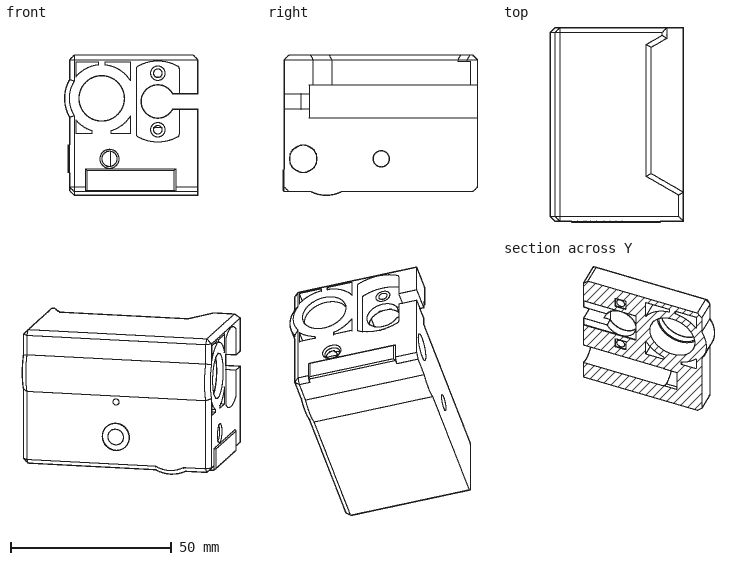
import cadquery as cq
import math

BLOCK_WIDTH = 39.95
BLOCK_LENGTH = 60.2
BLOCK_HEIGHT = 42.6
CHAMFER = 1.5

BEARING_X = 10.0
BEARING_Z = 29.05
BULGE_RADIUS = 11.6
BORE_MOUTH_RADIUS = 7.05
BORE_RADIUS = 7.5
BORE_LIP = 2.1

RING_RADIUS = 10.5
FRAME_LEFT, FRAME_RIGHT = 1.95, 18.9
FRAME_BOTTOM, FRAME_TOP = 18.2, 40.4
TOP_BRIDGE = 1.95
BOTTOM_BRIDGE = 5.95
POCKET_DEPTH = 27.3

SEAT_X = 27.5
SEAT_Z = 28.1
SEAT_RADIUS = 12.6
SEAT_WIDTH = 13.35
SEAT_DEPTH = 5.3
SEAT_CORNER = 0.9
SEAT_BORE_RADIUS = 5.15
SLOT_HEIGHT = 4.8
SEAT_BACK = 7.9

INSERT_OFFSET = 8.8
INSERT_RADIUS = 2.25
INSERT_BORE_RADIUS = 1.35
TAIL_WIDTH = 3.65
TAIL_SLOPE_TOP = 1.6
UPPER_TAIL_SLOPE_BOTTOM = -1.15
LOWER_TAIL_SLOPE_BOTTOM = 0.7

NOTCH_FLOOR = SEAT_Z - SEAT_BORE_RADIUS
NOTCH_X = 29.9
NOTCH_FRONT = 9.05
NOTCH_REAR = 54.1
REAR_LIP_X = 34.8
NOTCH_SLOPE = math.tan(math.radians(30))

LIP_THICKNESS = 2.1
LIP_RELIEF_REAR = 58.0

CROSS_Y = 30.2
CROSS_Z = 10.25
CROSS_RADIUS = 2.5
BOSS_RADIUS = 4.3
BOSS_HEIGHT = 0.4

CHAMBER_Y = 5.95
CHAMBER_RADIUS = 4.25
CHAMBER_START = 12.75
NUT_ACROSS_FLATS = 8.25
HEXAGON_TURN = 30
NUT_LENGTH = 4.25

FRONT_HOLE_X = 12.45
FRONT_HOLE_RADIUS = 2.35
FRONT_HOLE_CHAMFER = 0.6

DIMPLE_Z = 21.35
DIMPLE_RADIUS = 1.0
DIMPLE_DEPTH = 1.05

BUMP_Y = 13.1
BUMP_HEIGHT = 1.15
BUMP_HALF_WIDTH = 4.8

PAD_LEFT, PAD_RIGHT = 4.9, 33.05
PAD_TOP = 7.1
PAD_HEIGHT = 0.4
PAD_BEVEL = 0.55


def cylinder_y(x, z, radius, start, end):
    """Cylinder along +Y between two Y positions."""
    base = cq.Vector(x, start, z)
    return cq.Workplane(cq.Solid.makeCylinder(radius, end - start, base, cq.Vector(0, 1, 0)))


def cylinder_x(y, z, radius, start, end):
    """Cylinder along +X between two X positions."""
    base = cq.Vector(start, y, z)
    return cq.Workplane(cq.Solid.makeCylinder(radius, end - start, base, cq.Vector(1, 0, 0)))


def box(x_range, y_range, z_range):
    """Box between pairs of X, Y and Z positions."""
    lengths = [end - start for start, end in (x_range, y_range, z_range)]
    return cq.Workplane("XY").box(*lengths, centered=False).translate((x_range[0], y_range[0], z_range[0]))


def make_block():
    """Chamfered block with the notch in its right side."""
    block = box((0, BLOCK_WIDTH), (0, BLOCK_LENGTH), (0, BLOCK_HEIGHT))
    notch = (
        cq.Workplane("XY", origin=(0, 0, NOTCH_FLOOR))
        .moveTo(BLOCK_WIDTH, NOTCH_FRONT)
        .lineTo(NOTCH_X, NOTCH_FRONT + (BLOCK_WIDTH - NOTCH_X) * NOTCH_SLOPE)
        .lineTo(NOTCH_X, NOTCH_REAR)
        .lineTo(REAR_LIP_X, NOTCH_REAR + (REAR_LIP_X - NOTCH_X) * NOTCH_SLOPE)
        .lineTo(REAR_LIP_X, BLOCK_LENGTH)
        .lineTo(BLOCK_WIDTH, BLOCK_LENGTH)
        .close()
        .extrude(BLOCK_HEIGHT - NOTCH_FLOOR)
    )
    block = block.cut(notch)
    rims = block.faces("<X or >Z").edges()
    front_and_back_bottom = block.faces("<Z").edges("<Y or >Y")
    return rims.add(front_and_back_bottom).chamfer(CHAMFER)


def make_bulge():
    """Bearing bulge on the left face, chamfered at both ends."""
    bulge = cylinder_y(BEARING_X, BEARING_Z, BULGE_RADIUS, 0, BLOCK_LENGTH)
    return bulge.edges("%CIRCLE").chamfer(CHAMFER)


def make_bump():
    """Shallow rounded bump along the bottom, chamfered at its left end."""
    radius = (BUMP_HALF_WIDTH**2 + BUMP_HEIGHT**2) / (2 * BUMP_HEIGHT)
    bump = cylinder_x(BUMP_Y, radius - BUMP_HEIGHT, radius, 0, BLOCK_WIDTH)
    return bump.faces("<X").chamfer(CHAMFER)


def make_pad():
    """Raised pad at the foot of the front face, with a bevelled rim."""
    pad = box((PAD_LEFT, PAD_RIGHT), (-PAD_HEIGHT, CHAMFER), (0, PAD_TOP))
    return pad.faces("<Y").chamfer(PAD_HEIGHT, PAD_BEVEL)


def make_bearing_bore():
    """Bore through the block with a lip at its front."""
    mouth = cylinder_y(BEARING_X, BEARING_Z, BORE_MOUTH_RADIUS, 0, BORE_LIP)
    bore = cylinder_y(BEARING_X, BEARING_Z, BORE_RADIUS, BORE_LIP, BLOCK_LENGTH)
    return mouth.union(bore)


def make_corner_pockets():
    """Four pockets between the bearing ring and the square frame."""
    depth = (0, POCKET_DEPTH)
    pockets = box((FRAME_LEFT, FRAME_RIGHT), depth, (FRAME_BOTTOM, FRAME_TOP))
    pockets = pockets.cut(cylinder_y(BEARING_X, BEARING_Z, RING_RADIUS, 0, POCKET_DEPTH))
    webs = (
        (TOP_BRIDGE, (BEARING_Z, FRAME_TOP)),
        (BOTTOM_BRIDGE, (FRAME_BOTTOM, BEARING_Z)),
    )
    for width, z_range in webs:
        pockets = pockets.cut(box((BEARING_X - width / 2, BEARING_X + width / 2), depth, z_range))
    return pockets


def make_nut_seat():
    """Round-ended recess, its bore, the slot to the right side and the space behind."""
    recess = cylinder_y(SEAT_X, SEAT_Z, SEAT_RADIUS, 0, SEAT_DEPTH).intersect(
        box(
            (SEAT_X - SEAT_WIDTH / 2, SEAT_X + SEAT_WIDTH / 2),
            (0, SEAT_DEPTH),
            (0, BLOCK_HEIGHT),
        )
    )
    recess = recess.edges("|Y").fillet(SEAT_CORNER)
    bore = cylinder_y(SEAT_X, SEAT_Z, SEAT_BORE_RADIUS, 0, SEAT_BACK)
    slot = box(
        (SEAT_X, BLOCK_WIDTH),
        (0, SEAT_BACK),
        (SEAT_Z - SLOT_HEIGHT / 2, SEAT_Z + SLOT_HEIGHT / 2),
    )
    space_behind = box(
        (SEAT_X - SEAT_BORE_RADIUS, BLOCK_WIDTH),
        (SEAT_BACK, BLOCK_LENGTH),
        (NOTCH_FLOOR, SEAT_Z + SEAT_BORE_RADIUS),
    )
    return recess.union(bore).union(slot).union(space_behind)


def make_lip_relief():
    """Undercut that leaves only a ledge at the top rear of the notch."""
    return box(
        (NOTCH_X, BLOCK_WIDTH),
        (NOTCH_REAR, LIP_RELIEF_REAR),
        (NOTCH_FLOOR, BLOCK_HEIGHT - LIP_THICKNESS),
    )


def make_insert_hole(z, slope_bottom):
    """Hole for one insert, and the sloping-roofed room behind it."""
    hole = cylinder_y(SEAT_X, z, INSERT_RADIUS, SEAT_DEPTH, SEAT_BACK)
    slope_drop = TAIL_SLOPE_TOP - slope_bottom
    tail = (
        cq.Workplane("YZ", origin=(SEAT_X - TAIL_WIDTH / 2, 0, 0))
        .moveTo(SEAT_BACK, z + TAIL_SLOPE_TOP)
        .lineTo(SEAT_BACK + slope_drop, z + slope_bottom)
        .lineTo(SEAT_BACK + slope_drop, z - TAIL_WIDTH / 2)
        .lineTo(SEAT_BACK, z - TAIL_WIDTH / 2)
        .close()
        .extrude(TAIL_WIDTH)
    )
    return hole.union(tail)


def make_nut_chamber():
    """Hexagonal nut seat, with flats facing front and rear, and the bore from the right side."""
    hexagon = (
        cq.Workplane("YZ", origin=(CHAMBER_START - NUT_LENGTH, CHAMBER_Y, CROSS_Z))
        .transformed(rotate=(0, 0, HEXAGON_TURN))
        .polygon(6, NUT_ACROSS_FLATS / math.cos(math.pi / 6))
        .extrude(NUT_LENGTH)
    )
    return hexagon.union(cylinder_x(CHAMBER_Y, CROSS_Z, CHAMBER_RADIUS, CHAMBER_START, BLOCK_WIDTH))


def make_front_hole():
    """Hole from the front face to the nut chamber, with a chamfered mouth."""
    hole = cylinder_y(FRONT_HOLE_X, CROSS_Z, FRONT_HOLE_RADIUS, 0, CHAMBER_Y)
    mouth = cq.Solid.makeCone(
        FRONT_HOLE_RADIUS + FRONT_HOLE_CHAMFER,
        FRONT_HOLE_RADIUS,
        FRONT_HOLE_CHAMFER,
        cq.Vector(FRONT_HOLE_X, 0, CROSS_Z),
        cq.Vector(0, 1, 0),
    )
    return hole.union(cq.Workplane(mouth))


def make_dimple():
    """Conical dimple in the left face."""
    return cq.Workplane(
        cq.Solid.makeCone(
            DIMPLE_RADIUS, 0, DIMPLE_DEPTH, cq.Vector(0, CROSS_Y, DIMPLE_Z), cq.Vector(1, 0, 0)
        )
    )


def make_housing():
    """The housing with all its holes and recesses."""
    housing = make_block().union(make_bulge()).union(make_bump())
    housing = housing.union(cylinder_x(CROSS_Y, CROSS_Z, BOSS_RADIUS, -BOSS_HEIGHT, CHAMFER))
    cutters = [
        make_bearing_bore(),
        make_corner_pockets(),
        make_nut_seat(),
        make_lip_relief(),
        make_insert_hole(SEAT_Z + INSERT_OFFSET, UPPER_TAIL_SLOPE_BOTTOM),
        make_insert_hole(SEAT_Z - INSERT_OFFSET, LOWER_TAIL_SLOPE_BOTTOM),
        cylinder_x(CROSS_Y, CROSS_Z, CROSS_RADIUS, -BOSS_HEIGHT, BLOCK_WIDTH),
        make_nut_chamber(),
        make_front_hole(),
        make_dimple(),
    ]
    for cutter in cutters:
        housing = housing.cut(cutter)
    return housing.union(make_pad())


def make_insert(z):
    """One tubular insert, flush with the recess floor."""
    insert = cylinder_y(SEAT_X, z, INSERT_RADIUS, SEAT_DEPTH, SEAT_BACK)
    return insert.cut(cylinder_y(SEAT_X, z, INSERT_BORE_RADIUS, SEAT_DEPTH, SEAT_BACK))


housing = make_housing()
inserts = [make_insert(SEAT_Z + side * INSERT_OFFSET) for side in (-1, 1)]

result = cq.Compound.makeCompound([housing.val(), *[insert.val() for insert in inserts]])